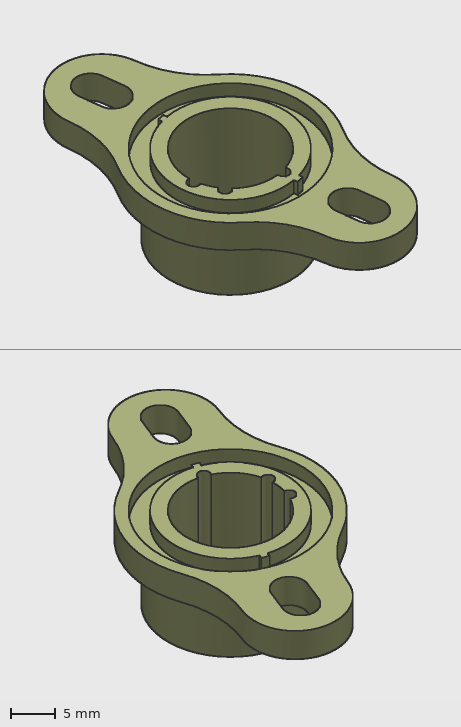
import cadquery as cq
import math

total_length = 48.0
total_height = 13.0
flange_thickness = 4.0
center_radius = 13.0
lobe_radius = 6.5
lobe_offset = total_length / 2 - lobe_radius

slot_length = 7.5
slot_width = 4.4

hub_diameter = 20.0
recess_diameter = 22.8
recess_depth = 1.9
collar_diameter = 18.0
tab_width = 1.0
tab_reach = 9.5

bore_diameter = 14.0
key_width = 1.6
key_reach = 8.0
pin_groove_diameter = 1.6
pin_groove_offset = 7.2
pin_groove_angle = -60.0

hub_length = total_height - flange_thickness
recess_floor = total_height - recess_depth


def make_flange():
    """Round center joined to two end lobes by tangent concave arcs."""
    blend_radius = (lobe_offset**2 + lobe_radius**2 - center_radius**2) / (
        2 * (center_radius - lobe_radius)
    )
    blend_y = lobe_radius + blend_radius
    blend_angle = math.atan2(blend_y, lobe_offset)
    tangent_x = center_radius * math.cos(blend_angle)
    tangent_y = center_radius * math.sin(blend_angle)

    mid_angle = (blend_angle + math.pi / 2) / 2 + math.pi
    mid_x = lobe_offset + blend_radius * math.cos(mid_angle)
    mid_y = blend_y + blend_radius * math.sin(mid_angle)

    return (
        cq.Workplane("XY", origin=(0, 0, hub_length))
        .moveTo(-tangent_x, tangent_y)
        .threePointArc((0, center_radius), (tangent_x, tangent_y))
        .threePointArc((mid_x, mid_y), (lobe_offset, lobe_radius))
        .threePointArc((total_length / 2, 0), (lobe_offset, -lobe_radius))
        .threePointArc((mid_x, -mid_y), (tangent_x, -tangent_y))
        .threePointArc((0, -center_radius), (-tangent_x, -tangent_y))
        .threePointArc((-mid_x, -mid_y), (-lobe_offset, -lobe_radius))
        .threePointArc((-total_length / 2, 0), (-lobe_offset, lobe_radius))
        .threePointArc((-mid_x, mid_y), (-tangent_x, tangent_y))
        .close()
        .extrude(flange_thickness)
    )


def make_hub():
    return cq.Workplane("XY").circle(hub_diameter / 2).extrude(hub_length)


def make_slots():
    return (
        cq.Workplane("XY")
        .pushPoints([(-lobe_offset, 0), (lobe_offset, 0)])
        .slot2D(slot_length, slot_width)
        .extrude(total_height)
    )


def make_recess():
    """Ring-shaped pocket around the collar and its two side tabs."""
    floor = cq.Workplane("XY", origin=(0, 0, recess_floor))
    collar = floor.circle(collar_diameter / 2).extrude(recess_depth)
    tabs = floor.rect(2 * tab_reach, tab_width).extrude(recess_depth)
    pocket = floor.circle(recess_diameter / 2).extrude(recess_depth)
    return pocket.cut(collar.union(tabs))


def make_key_groove(angle):
    """Round-ended groove from the axis out to the key reach."""
    key_center = key_reach - key_width / 2
    return (
        cq.Workplane("XY")
        .center(key_center / 2, 0)
        .slot2D(key_center + key_width, key_width)
        .extrude(total_height)
        .rotate((0, 0, 0), (0, 0, 1), angle)
    )


def make_bore():
    """Through bore with two key grooves and a round pin groove."""
    bore = cq.Workplane("XY").circle(bore_diameter / 2).extrude(total_height)
    for angle in (0, -90):
        bore = bore.union(make_key_groove(angle))
    pin_groove = (
        cq.Workplane("XY")
        .center(pin_groove_offset, 0)
        .circle(pin_groove_diameter / 2)
        .extrude(total_height)
        .rotate((0, 0, 0), (0, 0, 1), pin_groove_angle)
    )
    return bore.union(pin_groove)


result = make_flange().union(make_hub())
for opening in (make_slots(), make_recess(), make_bore()):
    result = result.cut(opening)